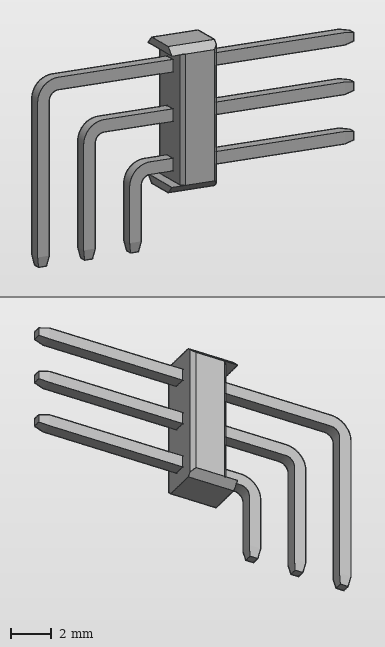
import cadquery as cq
import math


overall_length = 17.44
overall_height = 10.5

housing_width = 2.55
housing_depth = housing_width
housing_height = 7.48
core_depth = 2.0
corner_chamfer = 0.21
lip_setback = 0.4
lip_height = 0.38

pin_count = 3
pitch = 2.53
pin_width = 0.65
bend_inner_radius = 0.49
bend_outer_radius = bend_inner_radius + pin_width
tip_length = 0.54
tip_inset = 0.1
tip_taper = math.degrees(math.atan2(tip_inset, tip_length))
pin_back_end = 8.0
pin_front_limit = pin_back_end - overall_length
pin_bottom_end = housing_height / 2 - overall_height


def pin_height(index):
    """Z of a pin's horizontal centre line, counted from the lowest pin."""
    return (index - (pin_count - 1) / 2) * pitch


def make_housing():
    half_width = housing_width / 2
    half_height = housing_height / 2
    flat_half_width = half_width - lip_setback
    side_half_height = half_height - lip_height
    body = (
        cq.Workplane("XZ")
        .polyline([
            (-flat_half_width, -half_height),
            (flat_half_width, -half_height),
            (half_width, -side_half_height),
            (half_width, side_half_height),
            (flat_half_width, half_height),
            (-flat_half_width, half_height),
            (-half_width, side_half_height),
            (-half_width, -side_half_height),
        ])
        .close()
        .extrude(housing_depth)
    )

    core_height = housing_height - 2 * lip_height
    recess_depth = housing_depth - core_depth
    recess = cq.Workplane("XY").box(housing_width, recess_depth, core_height)
    body = body.cut(recess.translate((0, -core_depth - recess_depth / 2, 0)))

    for side in (-1, 1):
        for face_y, inward, bevel_height in ((0, -1, housing_height), (-core_depth, 1, core_height)):
            bevel = (
                cq.Workplane("XY")
                .workplane(offset=-bevel_height / 2)
                .polyline([
                    (side * half_width, face_y),
                    (side * (half_width - corner_chamfer), face_y),
                    (side * half_width, face_y + inward * corner_chamfer),
                ])
                .close()
                .extrude(bevel_height)
            )
            body = body.cut(bevel)

    for index in range(pin_count):
        hole = cq.Workplane("XY").box(pin_width, 2 * housing_depth, pin_width)
        body = body.cut(hole.translate((0, 0, pin_height(index))))
    return body


def make_pin(index):
    """Square pin with a rounded bend; each higher pin reaches one pitch further forward."""
    top = pin_height(index) + pin_width / 2
    front = pin_front_limit + (pin_count - 1 - index) * pitch
    back_shoulder = pin_back_end - tip_length
    bottom_shoulder = pin_bottom_end + tip_length
    bend_y = front + bend_outer_radius
    bend_z = top - bend_outer_radius
    diagonal = math.sqrt(0.5)

    pin = (
        cq.Workplane("YZ")
        .workplane(offset=-pin_width / 2)
        .moveTo(back_shoulder, top)
        .lineTo(bend_y, top)
        .threePointArc(
            (bend_y - bend_outer_radius * diagonal, bend_z + bend_outer_radius * diagonal),
            (front, bend_z),
        )
        .lineTo(front, bottom_shoulder)
        .lineTo(front + pin_width, bottom_shoulder)
        .lineTo(front + pin_width, bend_z)
        .threePointArc(
            (bend_y - bend_inner_radius * diagonal, bend_z + bend_inner_radius * diagonal),
            (bend_y, top - pin_width),
        )
        .lineTo(back_shoulder, top - pin_width)
        .close()
        .extrude(pin_width)
    )

    for end_face in (">Y", "<Z"):
        pin = (
            pin.faces(end_face)
            .workplane(centerOption="CenterOfMass")
            .rect(pin_width, pin_width)
            .extrude(tip_length, taper=tip_taper)
        )
    return pin


housing = make_housing()
pins = [make_pin(index) for index in range(pin_count)]

bodies = [housing, *pins]

result = cq.Compound.makeCompound([body.solids().val() for body in bodies])